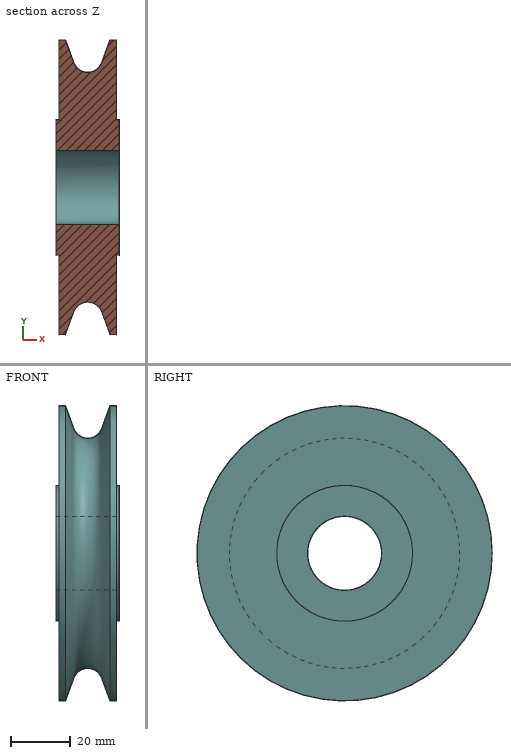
import cadquery as cq
import math

outer_diameter = 100.0
rim_width = 19.5
hub_diameter = 46.0
hub_width = 21.5
bore_diameter = 25.0

groove_bottom_radius = 39.0
groove_round = 5.0
flank_angle = math.radians(20)


def disc(diameter, width):
    """Solid disc on the X axis, centred on the origin."""
    return cq.Workplane("YZ").circle(diameter / 2).extrude(width / 2, both=True)


def rope_groove():
    """Ring of material removed from the rim to form the groove."""
    outer_radius = outer_diameter / 2
    tangent_x = groove_round * math.cos(flank_angle)
    tangent_radius = groove_bottom_radius + groove_round * (1 - math.sin(flank_angle))
    mouth_x = tangent_x + (outer_radius - tangent_radius) * math.tan(flank_angle)
    return (
        cq.Workplane("XY")
        .moveTo(-mouth_x, outer_radius)
        .lineTo(-tangent_x, tangent_radius)
        .threePointArc((0, groove_bottom_radius), (tangent_x, tangent_radius))
        .lineTo(mouth_x, outer_radius)
        .close()
        .revolve(360, (0, 0, 0), (1, 0, 0))
    )


wheel = disc(outer_diameter, rim_width).union(disc(hub_diameter, hub_width))
bore = disc(bore_diameter, hub_width)
result = wheel.cut(rope_groove()).cut(bore)